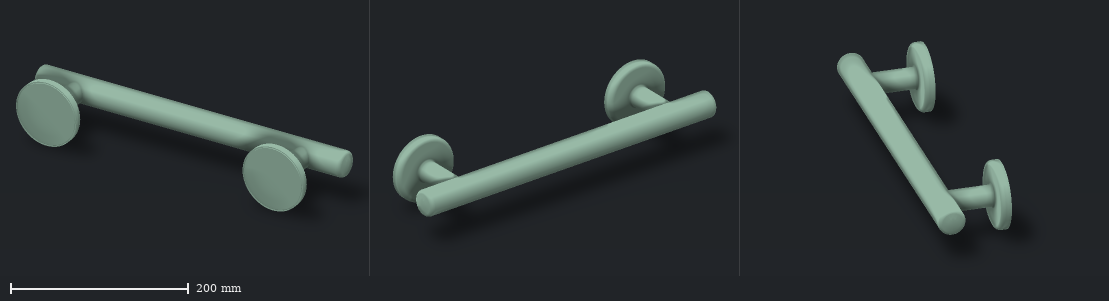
import cadquery as cq
import math

bar_length = 410.0
bar_diameter = 32.0
bar_edge_radius = 5.0
crown_radius = 41.0

overall_depth = 89.5
post_spacing = 300.0
post_diameter = 25.5
post_foot_fillet = 2.0
plate_diameter = 80.0
plate_thickness = 12.0
plate_edge_radius = 5.0
groove_rim_width = 1.0
groove_width = 1.2
groove_depth = 1.2

bar_radius = bar_diameter / 2
post_radius = post_diameter / 2
plate_radius = plate_diameter / 2
wall_y = bar_radius - overall_depth
plate_back_y = wall_y + plate_thickness

arc_midpoint = math.sqrt(0.5)


def make_bar():
    """Round bar with crowned, rounded ends, revolved about the X axis."""
    half_length = bar_length / 2
    round_center_r = bar_radius - bar_edge_radius
    crown_center_x = half_length - crown_radius
    center_distance = crown_radius - bar_edge_radius
    straight_end_x = crown_center_x + math.sqrt(center_distance**2 - round_center_r**2)
    crown_edge_x = crown_center_x + (straight_end_x - crown_center_x) * crown_radius / center_distance
    crown_edge_r = round_center_r * crown_radius / center_distance
    crown_mid_r = crown_edge_r / 2
    crown_mid_x = crown_center_x + math.sqrt(crown_radius**2 - crown_mid_r**2)
    round_mid_x = straight_end_x + bar_edge_radius * arc_midpoint
    round_mid_r = round_center_r + bar_edge_radius * arc_midpoint
    profile = (
        cq.Workplane("XZ")
        .moveTo(-half_length, 0)
        .threePointArc((-crown_mid_x, crown_mid_r), (-crown_edge_x, crown_edge_r))
        .threePointArc((-round_mid_x, round_mid_r), (-straight_end_x, bar_radius))
        .lineTo(straight_end_x, bar_radius)
        .threePointArc((round_mid_x, round_mid_r), (crown_edge_x, crown_edge_r))
        .threePointArc((crown_mid_x, crown_mid_r), (half_length, 0))
        .close()
    )
    return profile.revolve(360, (0, 0, 0), (1, 0, 0))


def make_mount():
    """Grooved wall plate and post, revolved about the Y axis, reaching the bar's centre line."""
    foot_radius = post_radius + post_foot_fillet
    foot_top_y = plate_back_y + post_foot_fillet
    foot_mid_r = foot_radius - post_foot_fillet * arc_midpoint
    foot_mid_y = foot_top_y - post_foot_fillet * arc_midpoint
    flat_radius = plate_radius - plate_edge_radius
    edge_start_y = plate_back_y - plate_edge_radius
    edge_mid_r = flat_radius + plate_edge_radius * arc_midpoint
    edge_mid_y = edge_start_y + plate_edge_radius * arc_midpoint
    groove_outer_radius = plate_radius - groove_rim_width
    groove_inner_radius = groove_outer_radius - groove_width
    groove_floor_y = wall_y + groove_depth
    profile = (
        cq.Workplane("XY")
        .moveTo(0, wall_y)
        .lineTo(groove_inner_radius, wall_y)
        .lineTo(groove_inner_radius, groove_floor_y)
        .lineTo(groove_outer_radius, groove_floor_y)
        .lineTo(groove_outer_radius, wall_y)
        .lineTo(plate_radius, wall_y)
        .lineTo(plate_radius, edge_start_y)
        .threePointArc((edge_mid_r, edge_mid_y), (flat_radius, plate_back_y))
        .lineTo(foot_radius, plate_back_y)
        .threePointArc((foot_mid_r, foot_mid_y), (post_radius, foot_top_y))
        .lineTo(post_radius, 0)
        .lineTo(0, 0)
        .close()
    )
    return profile.revolve(360, (0, 0, 0), (0, 1, 0))


mount = make_mount()
result = make_bar()
for side in (-1, 1):
    result = result.union(mount.translate((side * post_spacing / 2, 0, 0)))